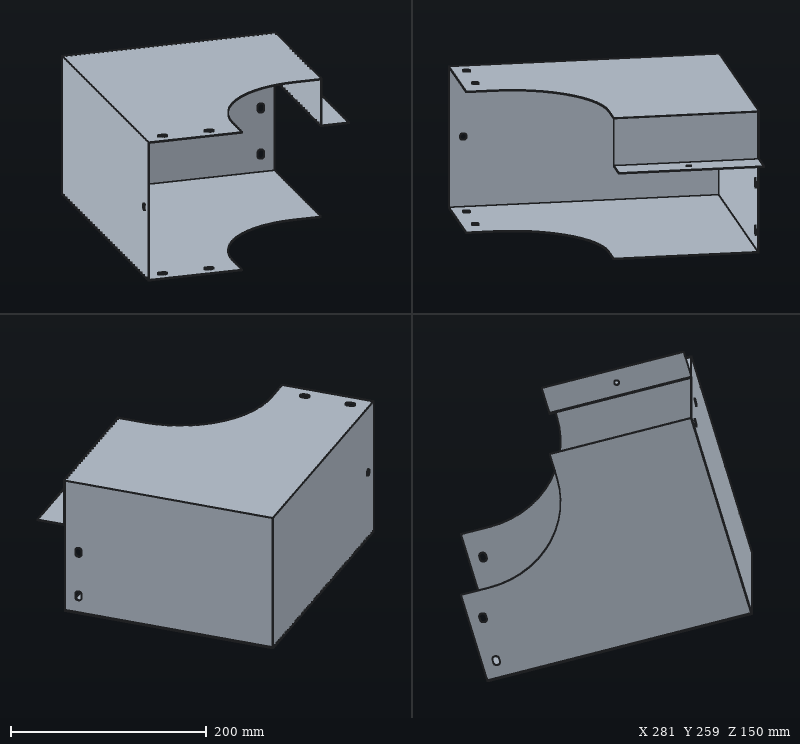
import cadquery as cq

length = 281.0
depth = 259.0
height = 150.0
sheet = 1.0
tab_reach = 29.2
flange_drop = 51.5
arm_width_x = 151.0
arm_width_y = 101.0
bend_radius = 100.0

slot_width = 7.0
slot_length = 10.0
hole_front = 7.0
hole_tab = 5.0
edge_offset = 15.0
slot_first = 20.0
slot_pitch = 50.0

flange_face = depth - tab_reach
body_depth = flange_face - sheet
tab_top = height - flange_drop + sheet
slot_centres = [slot_first, slot_first + slot_pitch]
cut_depth = 4 * sheet


def box(x, y, z, dx, dy, dz):
    """Box given by its lowest corner and its sizes."""
    return cq.Workplane("XY").box(dx, dy, dz, centered=False).translate((x, y, z))


def elbow_plate(z):
    """L-shaped plate with a rounded inside corner."""
    return (
        cq.Workplane("XY", origin=(0, 0, z))
        .moveTo(0, 0)
        .lineTo(length, 0)
        .lineTo(length, arm_width_y)
        .lineTo(arm_width_x + bend_radius, arm_width_y)
        .radiusArc((arm_width_x, arm_width_y + bend_radius), bend_radius)
        .lineTo(arm_width_x, body_depth)
        .lineTo(0, body_depth)
        .close()
        .extrude(sheet)
    )


body = elbow_plate(0).union(elbow_plate(height - sheet))
body = body.union(box(0, 0, 0, length, sheet, height))
body = body.union(box(0, 0, 0, sheet, body_depth, height))

body = body.union(box(0, body_depth, height - flange_drop, arm_width_x, sheet, flange_drop))
body = body.union(box(0, flange_face, tab_top - sheet, arm_width_x, tab_reach, sheet))

plate_slots = (
    cq.Workplane("XY")
    .pushPoints([(length - edge_offset, y) for y in slot_centres])
    .slot2D(slot_length, slot_width, 90)
    .extrude(height)
)

wall_slots = (
    cq.Workplane("YZ", origin=(-sheet, 0, 0))
    .pushPoints([(body_depth - edge_offset, z) for z in slot_centres])
    .slot2D(slot_length, slot_width, 90)
    .extrude(cut_depth)
)

front_hole = (
    cq.Workplane("XZ", origin=(length - edge_offset, -sheet, height / 2))
    .circle(hole_front / 2)
    .extrude(-cut_depth)
)

tab_hole = (
    cq.Workplane("XY", origin=(arm_width_x / 2, depth - edge_offset, tab_top - 2 * sheet))
    .circle(hole_tab / 2)
    .extrude(cut_depth)
)

result = body.cut(plate_slots).cut(wall_slots).cut(front_hole).cut(tab_hole)